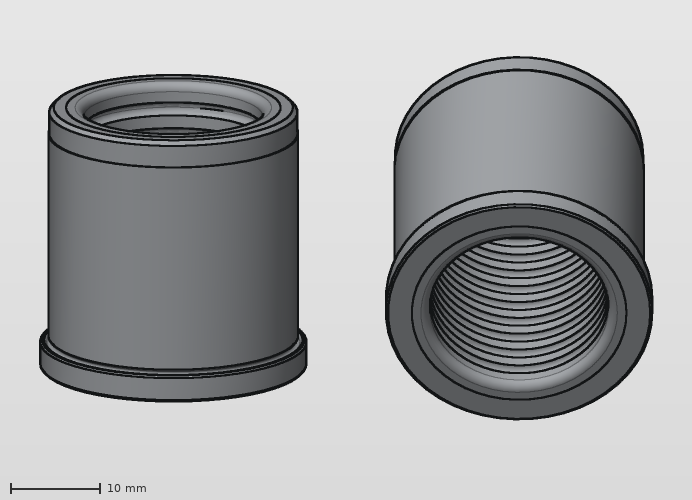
import cadquery as cq
import math

height = 30.0
flange_radius = 14.895
flange_height = 3.03
flange_chamfer = 0.25
body_radius = 13.98

collar_radius = 13.9
collar_height = 3.0
collar_chamfer_width = 0.5
collar_chamfer_height = 0.5

relief_reach = 0.48
relief_wall_drop = 0.3

liner_radius = 12.0
bore_radius = 10.0
mouth_radius = 1.0

groove_count = 9
groove_pitch = 3.0
groove_radius = 0.75


def make_ring(center_radius, center_z, section_radius):
    """Torus around the Z axis."""
    section = cq.Workplane("XZ").center(center_radius, center_z).circle(section_radius)
    return section.revolve(360, (-center_radius, 0), (-center_radius, 1))


def make_relief():
    """Cutter for the sloping round-ended channel at the foot of the barrel."""
    barrel_edge = (body_radius, flange_height + relief_reach)
    flange_edge = (body_radius + relief_reach, flange_height)
    upper_end = (barrel_edge[0] - relief_wall_drop, barrel_edge[1] - relief_wall_drop)
    lower_end = (flange_edge[0] - relief_wall_drop, flange_edge[1] - relief_wall_drop)
    end_radius = relief_reach / math.sqrt(2)
    end_drop = end_radius / math.sqrt(2)
    deepest = (
        (upper_end[0] + lower_end[0]) / 2 - end_drop,
        (upper_end[1] + lower_end[1]) / 2 - end_drop,
    )
    return (
        cq.Workplane("XZ")
        .moveTo(*barrel_edge)
        .lineTo(*upper_end)
        .threePointArc(deepest, lower_end)
        .lineTo(*flange_edge)
        .close()
        .revolve(360, (0, 0), (0, 1))
    )


def make_sleeve():
    """Flanged outer sleeve with a pilot collar and a corner relief."""
    flange = cq.Workplane("XY").circle(flange_radius).extrude(flange_height).edges().chamfer(flange_chamfer)
    barrel = cq.Workplane("XY").circle(body_radius).extrude(height - collar_height)
    collar = (
        cq.Workplane("XY")
        .circle(collar_radius)
        .extrude(height)
        .faces(">Z")
        .chamfer(collar_chamfer_height, collar_chamfer_width)
    )
    liner_hole = cq.Workplane("XY").circle(liner_radius).extrude(height)
    return flange.union(barrel).union(collar).cut(liner_hole).cut(make_relief())


def make_liner():
    """Inner bushing with rounded mouths and ring grooves in its bore."""
    liner = (
        cq.Workplane("XY")
        .circle(liner_radius)
        .circle(bore_radius)
        .extrude(height)
        .edges(cq.selectors.RadiusNthSelector(0))
        .fillet(mouth_radius)
    )
    first_groove_z = height / 2 - groove_pitch * (groove_count - 1) / 2
    for index in range(groove_count):
        groove_z = first_groove_z + index * groove_pitch
        liner = liner.cut(make_ring(bore_radius, groove_z, groove_radius))
    return liner


sleeve = make_sleeve()
liner = make_liner()
result = cq.Compound.makeCompound([sleeve.val(), liner.val()])